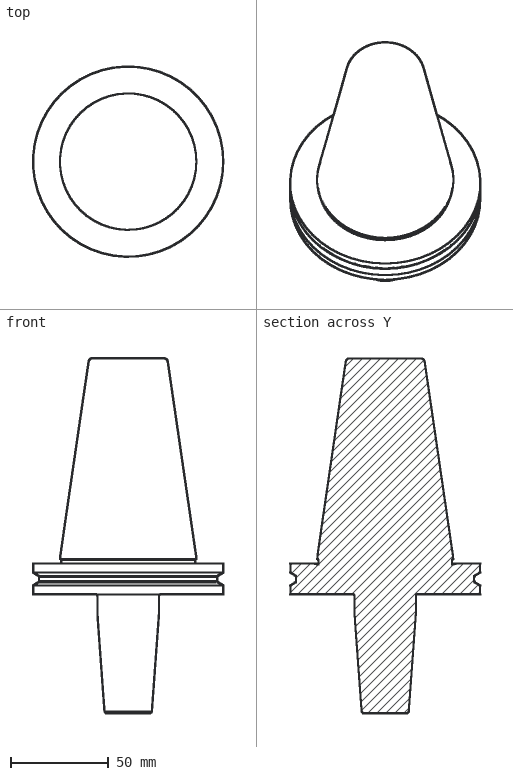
import cadquery as cq
import math

TAPER_LENGTH = 101.8
GAUGE_RADIUS = 34.9
TAPER_RATIO = 7 / 24
TIP_FILLET = 2.4

GAUGE_BAND_HEIGHT = 0.9
NECK_STEP = 0.5
NECK_RADIUS = GAUGE_RADIUS - NECK_STEP

FLANGE_RADIUS = 48.7
FLANGE_TOP = -3.3
FLANGE_BOTTOM = -19.0
RELIEF_RADIUS = 36.4
RELIEF_DEPTH = 0.5

GROOVE_MIDDLE = -11.3
GROOVE_FLOOR_RADIUS = 45.6
GROOVE_FLOOR_WIDTH = 2.9
GROOVE_WALL_ANGLE = 30.0
GROOVE_FILLET = 0.7

NOSE_RADIUS = 15.8
NOSE_CYLINDER_LENGTH = 10.2
NOSE_END = TAPER_LENGTH - 181.8
NOSE_END_RADIUS = 12.2
NOSE_ROOT_FILLET = 0.9
NOSE_END_CHAMFER = 0.9


def revolve_profile(points):
    """Revolve an outline of (radius, height) points around the Z axis."""
    return cq.Workplane("XZ").polyline(points).close().revolve(360, (0, 0, 0), (0, 1, 0))


def make_taper():
    tip_radius = GAUGE_RADIUS - TAPER_LENGTH * TAPER_RATIO / 2
    taper = revolve_profile([
        (0, 0),
        (GAUGE_RADIUS, 0),
        (tip_radius, TAPER_LENGTH),
        (0, TAPER_LENGTH),
    ])
    return taper.faces(">Z").edges().fillet(TIP_FILLET)


def make_neck():
    step_top = -GAUGE_BAND_HEIGHT
    step_bottom = step_top - NECK_STEP
    neck_bottom = FLANGE_TOP - RELIEF_DEPTH
    return revolve_profile([
        (0, 0),
        (GAUGE_RADIUS, 0),
        (GAUGE_RADIUS, step_top),
        (NECK_RADIUS, step_bottom),
        (NECK_RADIUS, neck_bottom),
        (0, neck_bottom),
    ])


def make_flange():
    groove_depth = FLANGE_RADIUS - GROOVE_FLOOR_RADIUS
    floor_half = GROOVE_FLOOR_WIDTH / 2
    mouth_half = floor_half + groove_depth * math.tan(math.radians(GROOVE_WALL_ANGLE))
    relief_bottom = FLANGE_TOP - RELIEF_DEPTH
    flange = revolve_profile([
        (0, relief_bottom),
        (NECK_RADIUS, relief_bottom),
        (RELIEF_RADIUS, FLANGE_TOP),
        (FLANGE_RADIUS, FLANGE_TOP),
        (FLANGE_RADIUS, GROOVE_MIDDLE + mouth_half),
        (GROOVE_FLOOR_RADIUS, GROOVE_MIDDLE + floor_half),
        (GROOVE_FLOOR_RADIUS, GROOVE_MIDDLE - floor_half),
        (FLANGE_RADIUS, GROOVE_MIDDLE - mouth_half),
        (FLANGE_RADIUS, FLANGE_BOTTOM),
        (0, FLANGE_BOTTOM),
    ])
    selection_half = floor_half * 1.1
    floor_circles = cq.selectors.BoxSelector(
        (-1.8, -1.8, GROOVE_MIDDLE - selection_half),
        (1.8, 1.8, GROOVE_MIDDLE + selection_half),
    )
    return flange.edges(floor_circles).fillet(GROOVE_FILLET)


def make_nose():
    cylinder_end = FLANGE_BOTTOM - NOSE_CYLINDER_LENGTH
    root_bottom = FLANGE_BOTTOM - NOSE_ROOT_FILLET
    arc_offset = NOSE_ROOT_FILLET * (1 - math.sqrt(0.5))
    outline = (
        cq.Workplane("XZ")
        .moveTo(0, FLANGE_BOTTOM)
        .lineTo(NOSE_RADIUS + NOSE_ROOT_FILLET, FLANGE_BOTTOM)
        .threePointArc(
            (NOSE_RADIUS + arc_offset, FLANGE_BOTTOM - arc_offset),
            (NOSE_RADIUS, root_bottom),
        )
        .lineTo(NOSE_RADIUS, cylinder_end)
        .lineTo(NOSE_END_RADIUS, NOSE_END + NOSE_END_CHAMFER)
        .lineTo(NOSE_END_RADIUS - NOSE_END_CHAMFER, NOSE_END)
        .lineTo(0, NOSE_END)
        .close()
    )
    return outline.revolve(360, (0, 0, 0), (0, 1, 0))


result = make_taper().union(make_neck()).union(make_flange()).union(make_nose())